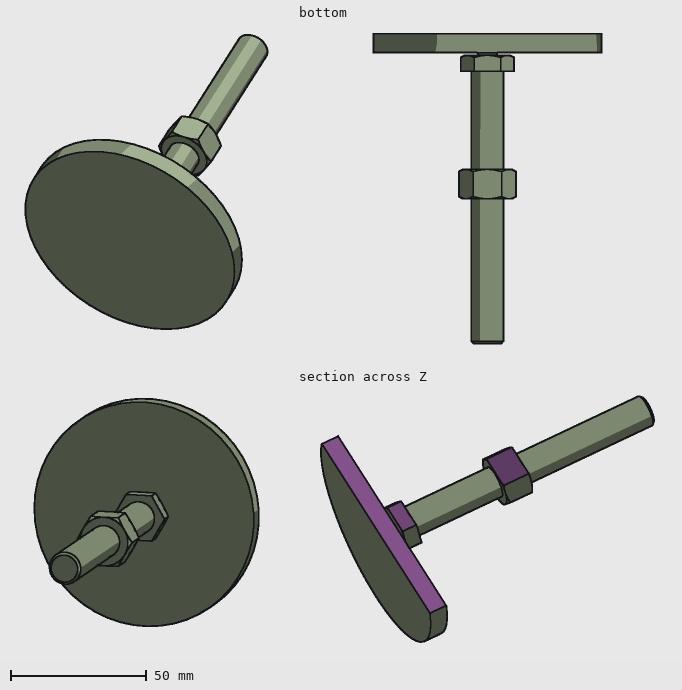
import cadquery as cq
import math

total_length = 114.0

plate_diameter = 84.0
plate_thickness = 7.0

rod_diameter = 12.0
rod_tip_chamfer = 0.9
collar_across_flats = 17.0
collar_thickness = 5.9
collar_gap = 1.0
neck_diameter = 6.4
neck_foot_diameter = 7.8
socket_depth = 3.4

nut_across_flats = 18.2
nut_thickness = 10.8
nut_start = 49.9

corner_chamfer_angle = 30.0

collar_start = plate_thickness + collar_gap
rod_start = collar_start + collar_thickness


def cylinder(diameter, start, length):
    """Cylinder along +Y, beginning at y = start."""
    plane = cq.Workplane("XZ", origin=(0, start, 0))
    return plane.circle(diameter / 2).extrude(-length)


def hexagon(across_flats, start, length, chamfer_far_end):
    """Hexagonal prism along +Y, flats facing +Z and -Z, with conically turned corners."""
    corner_radius = across_flats / math.sqrt(3)
    flat_radius = across_flats / 2
    chamfer_height = (corner_radius - flat_radius) * math.tan(math.radians(corner_chamfer_angle))
    end = start + length
    prism = (
        cq.Workplane("XZ", origin=(0, start, 0))
        .polygon(6, 2 * corner_radius)
        .extrude(-length)
    )
    profile = (
        cq.Workplane("XY")
        .moveTo(0, start)
        .lineTo(flat_radius, start)
        .lineTo(corner_radius, start + chamfer_height)
    )
    if chamfer_far_end:
        profile = profile.lineTo(corner_radius, end - chamfer_height).lineTo(flat_radius, end)
    else:
        profile = profile.lineTo(corner_radius, end)
    envelope = profile.lineTo(0, end).close().revolve(360, (0, 0, 0), (0, 1, 0))
    return prism.intersect(envelope)


def make_neck():
    """Plain pivot in the plate's socket, tapering up to the collar."""
    pivot = cylinder(neck_foot_diameter, plate_thickness - socket_depth, socket_depth)
    taper = (
        cq.Workplane("XY")
        .moveTo(0, plate_thickness)
        .lineTo(neck_foot_diameter / 2, plate_thickness)
        .lineTo(neck_diameter / 2, collar_start)
        .lineTo(0, collar_start)
        .close()
        .revolve(360, (0, 0, 0), (0, 1, 0))
    )
    return pivot.union(taper)


def make_plate():
    plate = cylinder(plate_diameter, 0, plate_thickness)
    socket = cylinder(neck_foot_diameter, plate_thickness - socket_depth, socket_depth)
    return plate.cut(socket)


def make_stud():
    rod = cylinder(rod_diameter, rod_start, total_length - rod_start)
    rod = rod.faces(">Y").chamfer(rod_tip_chamfer)
    collar = hexagon(collar_across_flats, collar_start, collar_thickness, chamfer_far_end=False)
    return rod.union(collar).union(make_neck())


def make_nut():
    body = hexagon(nut_across_flats, nut_start, nut_thickness, chamfer_far_end=True)
    return body.cut(cylinder(rod_diameter, nut_start, nut_thickness))


plate = make_plate()
stud = make_stud()
nut = make_nut()

result = cq.Compound.makeCompound([plate.val(), stud.val(), nut.val()])